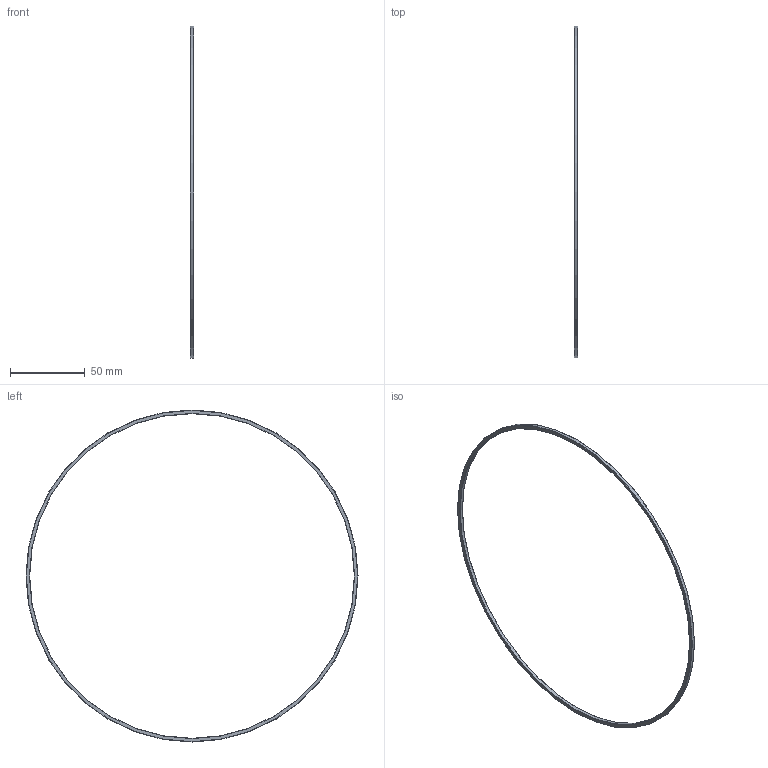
import cadquery as cq

outer_diameter = 222.25
inner_diameter = 217.32
ring_width = 2.4
outer_edge_radius = 0.2
inner_edge_radius = 0.15

ring = (
    cq.Workplane("YZ", origin=(-ring_width / 2, 0, 0))
    .circle(outer_diameter / 2)
    .circle(inner_diameter / 2)
    .extrude(ring_width)
)

outer_edge = cq.selectors.RadiusNthSelector(-1)
inner_edge = cq.selectors.RadiusNthSelector(0)

for flat_side in ("<X", ">X"):
    ring = ring.faces(flat_side).edges(outer_edge).fillet(outer_edge_radius)
    ring = ring.faces(flat_side).edges(inner_edge).fillet(inner_edge_radius)

result = ring